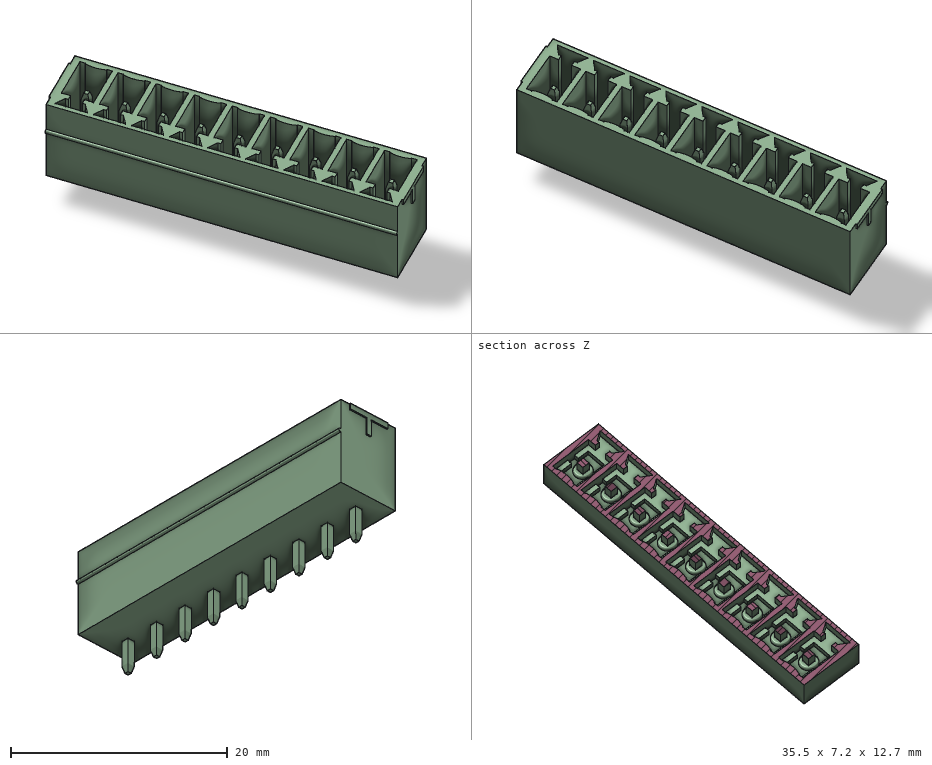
import cadquery as cq


PIN_COUNT = 9
PIN_ROW_LENGTH = 30.48
PITCH = PIN_ROW_LENGTH / (PIN_COUNT - 1)

OVERALL_LENGTH = 35.48
HOUSING_LENGTH = 35.15
HOUSING_WIDTH = 6.95
HOUSING_HEIGHT = 9.2
BACK_Y = HOUSING_WIDTH / 2
FRONT_Y = -HOUSING_WIDTH / 2

RIB_RADIUS = 0.205
RIB_REACH = 0.25
RIB_DROP = 3.4

PAD_BAR_WIDTH = 4.8
PAD_BAR_HEIGHT = 0.65
PAD_STEM_WIDTH = 0.53
PAD_HEIGHT = 2.45

SOCKET_WIDTH = 3.23
SOCKET_DEPTH = 7.1
CHAMBER_BACK_Y = BACK_Y - 0.53
CHAMBER_FRONT_Y = BACK_Y - 5.0
NECK_WIDTH = 1.4
NECK_FRONT_Y = BACK_Y - 5.55
FLARE_BACK_WIDTH = 2.0
FLARE_FRONT_Y = BACK_Y - 6.5

BULGE_WIDTH = 2.15
BULGE_SIDE_RISE = 0.07
BULGE_MIDDLE_RISE = 0.23

WELL_WIDTH = BULGE_WIDTH
WELL_FRONT_Y = BACK_Y - 4.47
WELL_DEPTH = 0.53
CHANNEL_WIDTH = 0.85
BACK_GAP_WIDTH = 0.1
SOCKET_FLOOR_Z = HOUSING_HEIGHT - SOCKET_DEPTH
WELL_FLOOR_Z = SOCKET_FLOOR_Z - WELL_DEPTH

PIN_SIZE = 0.8
PIN_Y = BACK_Y - 2.8
PIN_PROTRUSION = 3.5
PIN_TOP_DROP = 1.3
TIP_SIZE = 0.43
TIP_LENGTH = 0.75
PIN_TOP_Z = HOUSING_HEIGHT - PIN_TOP_DROP

BOSS_DIAMETER = 1.9
BOSS_HEIGHT = 0.3
BOSS_ROUNDING = 0.25


def block(x_size, y_min, y_max, z_min, z_max, x=0.0):
    """Box centred on x, between the given Y and Z limits."""
    return (
        cq.Workplane("XY")
        .box(x_size, y_max - y_min, z_max - z_min, centered=(True, False, False))
        .translate((x, y_min, z_min))
    )


def front_rib():
    """Bar along the front face with short flat flanks and a half-round nose."""
    rib_z = HOUSING_HEIGHT - RIB_DROP
    round_center_y = FRONT_Y - RIB_REACH + RIB_RADIUS
    return (
        cq.Workplane("YZ")
        .moveTo(FRONT_Y, rib_z - RIB_RADIUS)
        .lineTo(round_center_y, rib_z - RIB_RADIUS)
        .threePointArc((FRONT_Y - RIB_REACH, rib_z), (round_center_y, rib_z + RIB_RADIUS))
        .lineTo(FRONT_Y, rib_z + RIB_RADIUS)
        .close()
        .extrude(HOUSING_LENGTH / 2, both=True)
    )


def end_pads():
    """T-shaped plate that reaches past both end faces."""
    bar = block(
        OVERALL_LENGTH, -PAD_BAR_WIDTH / 2, PAD_BAR_WIDTH / 2,
        HOUSING_HEIGHT - PAD_BAR_HEIGHT, HOUSING_HEIGHT,
    )
    stem = block(
        OVERALL_LENGTH, -PAD_STEM_WIDTH / 2, PAD_STEM_WIDTH / 2,
        HOUSING_HEIGHT - PAD_HEIGHT, HOUSING_HEIGHT,
    )
    return bar.union(stem)


def back_bulge(x):
    """Shallow convex pad on the back wall, as tall as the whole cavity."""
    half = BULGE_WIDTH / 2
    side_y = CHAMBER_BACK_Y - BULGE_SIDE_RISE
    middle_y = CHAMBER_BACK_Y - BULGE_MIDDLE_RISE
    return (
        cq.Workplane("XY", origin=(x, 0, WELL_FLOOR_Z))
        .moveTo(-half, CHAMBER_BACK_Y)
        .lineTo(-half, side_y)
        .threePointArc((0, middle_y), (half, side_y))
        .lineTo(half, CHAMBER_BACK_Y)
        .close()
        .extrude(SOCKET_DEPTH + WELL_DEPTH)
    )


def socket_opening(x):
    """Keyed socket outline from the socket floor to the top of the housing."""
    return (
        cq.Workplane("XY", origin=(x, 0, SOCKET_FLOOR_Z))
        .moveTo(0, CHAMBER_BACK_Y)
        .lineTo(SOCKET_WIDTH / 2, CHAMBER_BACK_Y)
        .lineTo(SOCKET_WIDTH / 2, CHAMBER_FRONT_Y)
        .lineTo(NECK_WIDTH / 2, CHAMBER_FRONT_Y)
        .lineTo(NECK_WIDTH / 2, NECK_FRONT_Y)
        .lineTo(FLARE_BACK_WIDTH / 2, NECK_FRONT_Y)
        .lineTo(SOCKET_WIDTH / 2, FLARE_FRONT_Y)
        .lineTo(0, FLARE_FRONT_Y)
        .mirrorY()
        .extrude(SOCKET_DEPTH)
    )


def sunken_floor(x):
    """Well, pin channel and narrow gap along the back wall, below the socket floor."""
    z_limits = (WELL_FLOOR_Z, SOCKET_FLOOR_Z)
    well = block(WELL_WIDTH, WELL_FRONT_Y, CHAMBER_BACK_Y, *z_limits, x)
    channel = block(
        SOCKET_WIDTH, PIN_Y - CHANNEL_WIDTH / 2, PIN_Y + CHANNEL_WIDTH / 2, *z_limits, x
    )
    back_gap = block(
        SOCKET_WIDTH, CHAMBER_BACK_Y - BACK_GAP_WIDTH, CHAMBER_BACK_Y, *z_limits, x
    )
    return well.union(channel).union(back_gap)


def socket_cavity(x):
    """Everything removed from the housing to form one socket."""
    return socket_opening(x).union(sunken_floor(x)).cut(back_bulge(x))


def pin_boss(x):
    """Round boss standing on the well floor, with a rounded top edge."""
    return (
        cq.Workplane("XY", origin=(x, PIN_Y, WELL_FLOOR_Z))
        .circle(BOSS_DIAMETER / 2)
        .extrude(BOSS_HEIGHT)
        .faces(">Z")
        .edges()
        .fillet(BOSS_ROUNDING)
    )


def pin_hole(x):
    """Square hole that fits the pin, from the underside to above the boss."""
    return block(
        PIN_SIZE, PIN_Y - PIN_SIZE / 2, PIN_Y + PIN_SIZE / 2, 0, SOCKET_FLOOR_Z, x
    )


def make_housing(pin_xs):
    housing = block(HOUSING_LENGTH, FRONT_Y, BACK_Y, 0, HOUSING_HEIGHT)
    housing = housing.union(front_rib()).union(end_pads())
    for x in pin_xs:
        housing = housing.cut(socket_cavity(x)).union(pin_boss(x)).cut(pin_hole(x))
    return housing.solids()


def make_pin(x):
    """Square pin with a blunt pyramid on each end."""
    shaft_bottom_z = TIP_LENGTH - PIN_PROTRUSION
    shaft_top_z = PIN_TOP_Z - TIP_LENGTH
    return (
        cq.Workplane("XY", origin=(x, PIN_Y, shaft_bottom_z))
        .rect(PIN_SIZE, PIN_SIZE)
        .extrude(shaft_top_z - shaft_bottom_z)
        .faces(">Z")
        .workplane()
        .rect(PIN_SIZE, PIN_SIZE)
        .workplane(offset=TIP_LENGTH)
        .rect(TIP_SIZE, TIP_SIZE)
        .loft()
        .faces("<Z")
        .workplane()
        .rect(PIN_SIZE, PIN_SIZE)
        .workplane(offset=TIP_LENGTH)
        .rect(TIP_SIZE, TIP_SIZE)
        .loft()
    )


pin_xs = [i * PITCH - PIN_ROW_LENGTH / 2 for i in range(PIN_COUNT)]
housing = make_housing(pin_xs)
pins = [make_pin(x) for x in pin_xs]

result = cq.Compound.makeCompound([housing.val(), *[pin.val() for pin in pins]])